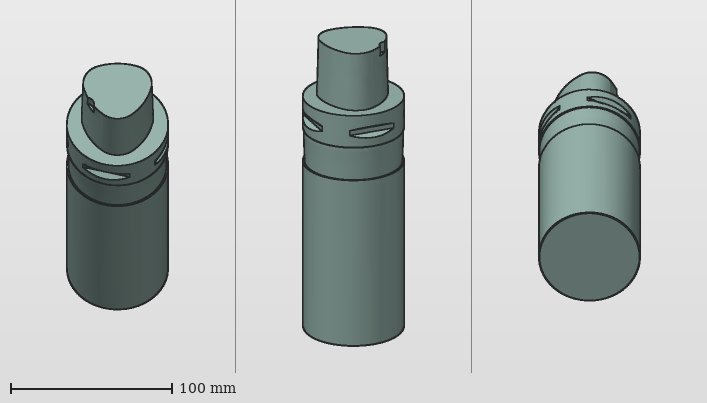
import cadquery as cq
import math

total_height = 194.0
body_diameter = 63.0
body_radius = body_diameter / 2
edge_chamfer = 0.48

blank_height = 112.1
waist_top_z = 131.5
flange_bottom_z = 134.0
flange_top_z = 156.0

neck_radius = body_radius - edge_chamfer
waist_bottom_radius = 30.5

lobe_count = 3
lobe_step = 360 / lobe_count
lobe_tip_distance = 23.5
flank_distance = 20.4
lobe_radius = 14.7
shank_height = total_height - flange_top_z
shank_taper = math.degrees(math.atan(1 / 40))

notch_radius = 5.2
notch_depth = 6.5
notch_back_y = -17.7

slot_count = 4
slot_first_angle = 45
slot_z = 144.1
slot_floor_distance = 27.7
slot_floor_height = 3.3
slot_mouth_height = 7.8


def polar(distance, angle):
    """Point at a distance from the axis, with the angle in degrees from +X."""
    radians = math.radians(angle)
    return (distance * math.cos(radians), distance * math.sin(radians))


def make_blank():
    """Plain cylindrical blank with a broken lower edge."""
    blank = cq.Workplane("XY").circle(body_radius).extrude(blank_height)
    return blank.faces("<Z").chamfer(edge_chamfer)


def make_flange_and_neck():
    """Turned flange, short neck and conical waist, as one revolved profile."""
    profile = (
        cq.Workplane("XZ")
        .moveTo(0, blank_height)
        .lineTo(waist_bottom_radius, blank_height)
        .lineTo(neck_radius, waist_top_z)
        .lineTo(neck_radius, flange_bottom_z)
        .lineTo(body_radius, flange_bottom_z + edge_chamfer)
        .lineTo(body_radius, flange_top_z)
        .lineTo(0, flange_top_z)
        .close()
    )
    return profile.revolve(360, (0, 0), (0, 1))


def make_shank():
    """Tapered shank bounded by lobe arcs and flatter flank arcs that meet tangentially."""
    lobe_centre_distance = lobe_tip_distance - lobe_radius
    half_step = math.radians(lobe_step / 2)

    across = lobe_centre_distance * math.sin(half_step)
    along = lobe_centre_distance * math.cos(half_step)
    tip_gap = lobe_radius - flank_distance + along
    flank_radius = lobe_radius + (across**2 + tip_gap**2) / (-2 * tip_gap)
    flank_centre_offset = flank_radius - flank_distance

    reach = flank_radius / (flank_radius - lobe_radius)
    joint_across = across * reach
    joint_along = (along + flank_centre_offset) * reach - flank_centre_offset
    joint_distance = math.hypot(joint_across, joint_along)
    joint_angle = math.degrees(math.atan2(joint_across, joint_along))

    first_flank_angle = -90
    outline = cq.Workplane("XY", origin=(0, 0, flange_top_z))
    outline = outline.moveTo(*polar(joint_distance, first_flank_angle - joint_angle))
    for index in range(lobe_count):
        flank_angle = first_flank_angle + index * lobe_step
        next_flank_angle = flank_angle + lobe_step
        outline = outline.threePointArc(
            polar(flank_distance, flank_angle),
            polar(joint_distance, flank_angle + joint_angle),
        )
        outline = outline.threePointArc(
            polar(lobe_tip_distance, flank_angle + lobe_step / 2),
            polar(joint_distance, next_flank_angle - joint_angle),
        )
    return outline.close().extrude(shank_height, taper=shank_taper)


def make_notch_cutter():
    """Upright cylinder that scoops the notch out of the -Y flank."""
    return (
        cq.Workplane("XY", origin=(0, notch_back_y - notch_radius, total_height - notch_depth))
        .circle(notch_radius)
        .extrude(notch_depth)
    )


def make_slot_cutter(angle):
    """Straight trough with a flat floor and flared sides, facing the given angle."""
    floor_half = slot_floor_height / 2
    mouth_half = slot_mouth_height / 2
    return (
        cq.Workplane("XZ", origin=(0, 0, slot_z))
        .moveTo(slot_floor_distance, -floor_half)
        .lineTo(body_radius, -mouth_half)
        .lineTo(body_radius, mouth_half)
        .lineTo(slot_floor_distance, floor_half)
        .close()
        .extrude(body_radius, both=True)
        .rotate((0, 0, 0), (0, 0, 1), angle)
    )


def make_adapter():
    """Clamping adapter: flange and neck with the shank on top."""
    adapter = make_flange_and_neck().union(make_shank())
    adapter = adapter.cut(make_notch_cutter())
    for index in range(slot_count):
        angle = slot_first_angle + index * 360 / slot_count
        adapter = adapter.cut(make_slot_cutter(angle))
    return adapter


blank = make_blank()
adapter = make_adapter()
result = cq.Compound.makeCompound([blank.val(), *adapter.vals()])